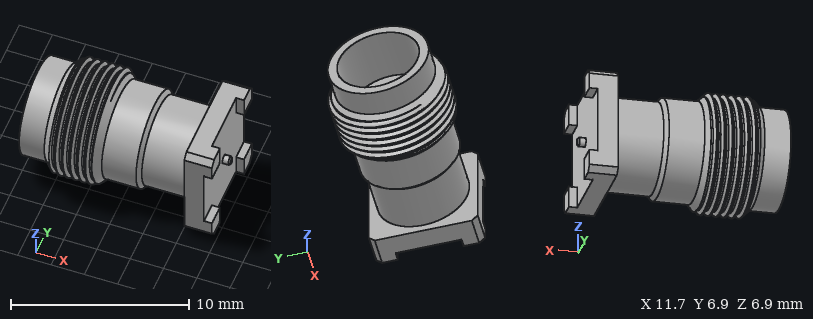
import cadquery as cq
import math

ORIGIN = (0, 0, 0)
X_AXIS = (1, 0, 0)
Y_AXIS = (0, 1, 0)

thread_start = 1.52
thread_end = 4.97
shoulder_end = 7.28
flange_start = 10.02
feet_start = 11.2
overall_length = 11.68
pin_end = 11.65

barrel_radius = 2.93
neck_radius = 2.68
shoulder_chamfer = 0.25
seam_angle = 180
bore_radius = 2.385
bore_depth = 3.1

thread_radius = 3.45
thread_pitch = 25.4 / 56
flank_angle = math.radians(30)
crest_flat = thread_pitch / 8
root_flat = thread_pitch / 4
thread_depth = (thread_pitch - crest_flat - root_flat) / 2 / math.tan(flank_angle)
crest_position = 2.24
groove_overcut = 0.03
groove_turns = 7.6

flange_width = 6.33
flange_corner_chamfer = 0.35
feet_gap = 3.82

pin_radius = 0.26
pin_chamfer = 0.1


def make_body():
    """Stepped body of revolution with 45 degree cones at both thread ends."""
    cone_length = thread_radius - barrel_radius
    return (
        cq.Workplane("XY")
        .moveTo(0, 0)
        .lineTo(0, barrel_radius)
        .lineTo(thread_start, barrel_radius)
        .lineTo(thread_start + cone_length, thread_radius)
        .lineTo(thread_end - cone_length, thread_radius)
        .lineTo(thread_end, barrel_radius)
        .lineTo(shoulder_end - shoulder_chamfer, barrel_radius)
        .lineTo(shoulder_end, neck_radius)
        .lineTo(flange_start, neck_radius)
        .lineTo(flange_start, 0)
        .close()
        .revolve(360, ORIGIN, X_AXIS)
        .rotate(ORIGIN, X_AXIS, seam_angle)
    )


def make_thread_groove():
    """Helical trapezoid that runs out through the cones at both ends."""
    root_radius = thread_radius - thread_depth
    outer_radius = thread_radius + groove_overcut
    root_half = root_flat / 2
    outer_half = root_half + (outer_radius - root_radius) * math.tan(flank_angle)
    groove_start = crest_position - 2 * thread_pitch

    helix = cq.Wire.makeHelix(thread_pitch, groove_turns * thread_pitch, root_radius)
    groove = (
        cq.Workplane("XZ")
        .moveTo(root_radius, -root_half)
        .lineTo(outer_radius, -outer_half)
        .lineTo(outer_radius, outer_half)
        .lineTo(root_radius, root_half)
        .close()
        .sweep(cq.Workplane(obj=helix), isFrenet=True)
    )
    return (
        groove.rotate(ORIGIN, Y_AXIS, 90)
        .translate((groove_start, 0, 0))
    )


def make_flange():
    """Chamfered square plate, crossed by two slots that leave four corner feet."""
    flange = (
        cq.Workplane("YZ", origin=(flange_start, 0, 0))
        .rect(flange_width, flange_width)
        .extrude(overall_length - flange_start)
        .edges("|X")
        .chamfer(flange_corner_chamfer)
    )
    for slot_size in ((feet_gap, flange_width), (flange_width, feet_gap)):
        slot = (
            cq.Workplane("YZ", origin=(feet_start, 0, 0))
            .rect(*slot_size)
            .extrude(overall_length - feet_start)
        )
        flange = flange.cut(slot)
    return flange


def make_pin():
    """Contact pin standing on the back of the flange, chamfered at its tip."""
    return (
        cq.Workplane("YZ", origin=(feet_start, 0, 0))
        .circle(pin_radius)
        .extrude(pin_end - feet_start)
        .faces(">X")
        .chamfer(pin_chamfer)
    )


def make_bore():
    """Blind bore in the mating end."""
    return cq.Workplane("YZ").circle(bore_radius).extrude(bore_depth)


result = (
    make_body()
    .cut(make_thread_groove())
    .union(make_flange())
    .union(make_pin())
    .cut(make_bore())
)